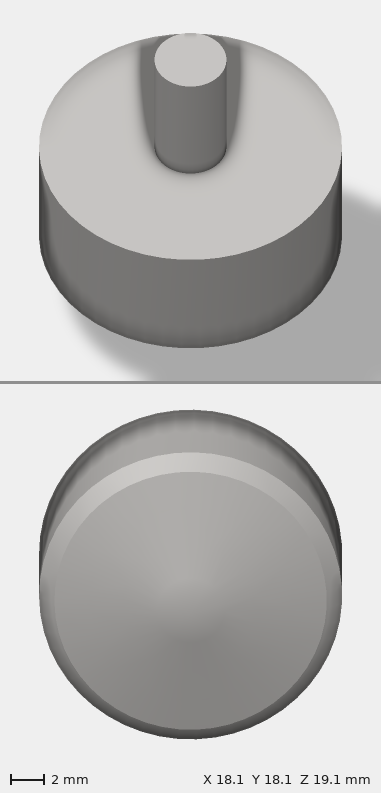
import cadquery as cq

total_height = 19.1
body_diameter = 18.1
pin_diameter = 4.3
pin_length = 7.81
chamfer_size = 0.92
tip_height = 2.43

body_radius = body_diameter / 2
pin_radius = pin_diameter / 2
tip_radius = body_radius - chamfer_size
chamfer_top = tip_height + chamfer_size
body_top = total_height - pin_length

half_section = (
    cq.Workplane("XZ")
    .moveTo(0, 0)
    .lineTo(tip_radius, tip_height)
    .lineTo(body_radius, chamfer_top)
    .lineTo(body_radius, body_top)
    .lineTo(pin_radius, body_top)
    .lineTo(pin_radius, total_height)
    .lineTo(0, total_height)
    .close()
)

result = half_section.revolve(360, (0, 0, 0), (0, 1, 0))